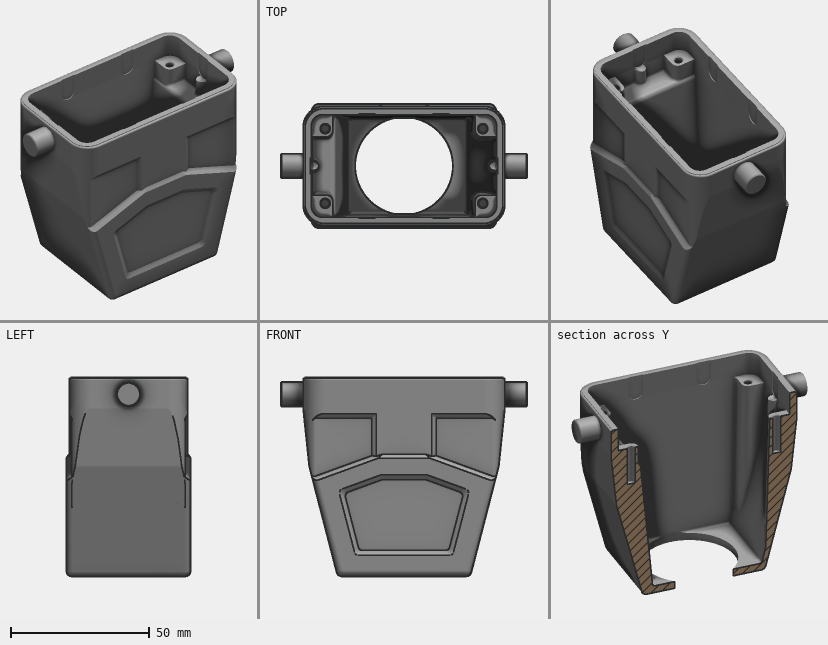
import cadquery as cq
import math

HEIGHT = 72.0
PIN_SPAN = 89.0
LOWER_WIDTH = 45.0

COLLAR_LENGTH = 73.0
COLLAR_WIDTH = 43.0
COLLAR_RADIUS = 7.6
COLLAR_BASE_Z = 25.0
RIM_ROUND = 0.6
LIP_HEIGHT = 0.3
LIP_INSET = 0.75

TAPER_START_Z = 60.75
BEND_Z = 39.9
BEND_HALF_LENGTH = 34.3
BEND_ROUND = 6.0
END_ANGLE = 14.5
BASE_HALF_LENGTH = BEND_HALF_LENGTH - BEND_Z * math.tan(math.radians(END_ANGLE))

BLOCK_ROUND = 2.2
SHOULDER_Z = 42.8
SHOULDER_HALF_LENGTH = 9.3
SHOULDER_ANGLE = 20.0
SHOULDER_BEVEL_DEPTH = 2.4
ENVELOPE_MARGIN = 10.0
SHOULDER_FLAT_SPREAD = 3.4
SHOULDER_SLOPE_SPREAD = 2.1

RECESS_DEPTH = 0.9
RECESS_BEVEL = 1.7
RECESS_INNER_X = 10.0
RECESS_TOP_Z = 58.9
RECESS_EDGE_ROUND = 2.0
RECESS_CORNER_ROUND = 1.0
RECESS_FLOOR_Y = COLLAR_WIDTH / 2 - RECESS_DEPTH

PANEL_BOTTOM_Z = 7.7
PANEL_END_MARGIN = 8.1
PANEL_TOP_MARGIN = 6.0
PANEL_DEPTH = 0.9
PANEL_BEVEL = 1.8
PANEL_TOP_ROUND = 4.0
PANEL_BOTTOM_ROUND = 3.5

PIN_DIAMETER = 8.9
PIN_Z = 65.9
PIN_CHAMFER = 0.35

MOUTH_LENGTH = 67.1
MOUTH_WIDTH = 37.2
MOUTH_RADIUS = 4.3
MOUTH_DEPTH = 9.0
LEDGE_Z = HEIGHT - MOUTH_DEPTH
FLOOR_THICKNESS = 3.0
CAVITY_BEND_HALF_LENGTH = 31.5
CAVITY_FLOOR_HALF_LENGTH = 22.6
CAVITY_FLOOR_HALF_WIDTH = 17.3
CAVITY_FLOOR_ROUND = 0.9
CABLE_HOLE_DIAMETER = 35.3

FILL_SHELF_X = -24.9
FILL_FLOOR_X = -20.0
SHELF_Z = 56.0
SHELF_EDGE_ROUND = 1.9
SHELF_CORNER_ROUND = 1.0

POST_INNER_X = 25.75
POST_INNER_Y = 10.5
POST_ROUND = 2.4
POST_DRAFT = 1.7
POST_ROOT_ROUND = 1.2
SCREW_X = 28.5
SCREW_Y = 13.5
SCREW_DIAMETER = 3.0
SCREW_CHAMFER = 0.3
SCREW_CHAMFER_ANGLE = 45.0
SCREW_DEPTH = 15.0

RIB_RADIUS = 1.9
RIB_REACH = 2.7
RIB_DRAFT = 1.0
RIB_CHAMFER = 0.5
RIB_FOOT_ROUND = 0.8

NOTCH_WIDTH = 5.6
NOTCH_DEPTH = 0.3
NOTCH_BOTTOM_Z = 62.4
NOTCH_X = 13.3


def nearest(point):
    """Selector for the edge whose middle lies nearest to the point."""
    return cq.selectors.NearestToPointSelector(point)


def mirrored_outline(right_points):
    """Close a right-hand chain of points with its mirror image about X = 0."""
    left_points = [(-x, z) for x, z in reversed(right_points)]
    return right_points + left_points


def prism_along_y(points, half_width):
    """Extrude an X-Z outline symmetrically to both sides of Y = 0."""
    return cq.Workplane("XZ").polyline(points).close().extrude(half_width, both=True)


def end_x(z):
    """X of the sharp lower end wall at height z."""
    return BASE_HALF_LENGTH + z * math.tan(math.radians(END_ANGLE))


def hull_prism():
    """Prism with the tapering end walls, wide enough to trim the whole collar."""
    outline = mirrored_outline([
        (BASE_HALF_LENGTH, 0),
        (BEND_HALF_LENGTH, BEND_Z),
        (COLLAR_LENGTH / 2, TAPER_START_Z),
        (COLLAR_LENGTH / 2, HEIGHT),
    ])
    prism = prism_along_y(outline, LOWER_WIDTH)
    for x in (-BEND_HALF_LENGTH, BEND_HALF_LENGTH):
        prism = prism.edges(nearest((x, 0, BEND_Z))).fillet(BEND_ROUND)
    return prism


def gable_outline(flat_shift, slope_shift, end_shift, bottom_z):
    """Five-sided outline of the block face, with each edge moved outwards by its shift.

    Returns the bottom, shoulder-end and shoulder-flat corners of the +X half.
    """
    slope = math.tan(math.radians(SHOULDER_ANGLE))
    lean = math.tan(math.radians(END_ANGLE))
    flat_z = SHOULDER_Z + flat_shift
    slope_rise = slope_shift / math.cos(math.radians(SHOULDER_ANGLE))
    slope_z_at_center = SHOULDER_Z + SHOULDER_HALF_LENGTH * slope + slope_rise
    end_at_zero = BASE_HALF_LENGTH + end_shift / math.cos(math.radians(END_ANGLE))
    flat_x = (slope_z_at_center - flat_z) / slope
    corner_x = (end_at_zero + lean * slope_z_at_center) / (1 + lean * slope)
    corner_z = slope_z_at_center - slope * corner_x
    return [(end_at_zero + lean * bottom_z, bottom_z), (corner_x, corner_z), (flat_x, flat_z)]


def rounded_block(length, width, radius, bottom_z, top_z):
    return (
        cq.Workplane("XY", origin=(0, 0, bottom_z)).rect(length, width).extrude(top_z - bottom_z)
        .edges("|Z").fillet(radius)
    )


def rim_lip():
    return rounded_block(
        COLLAR_LENGTH - 2 * LIP_INSET,
        COLLAR_WIDTH - 2 * LIP_INSET,
        COLLAR_RADIUS - LIP_INSET,
        HEIGHT - LIP_HEIGHT,
        HEIGHT,
    )


def collar():
    block = (
        rounded_block(COLLAR_LENGTH, COLLAR_WIDTH, COLLAR_RADIUS, COLLAR_BASE_Z, HEIGHT - LIP_HEIGHT)
        .faces(">Z").edges().fillet(RIM_ROUND)
    )
    for side_x in (-1, 1):
        for side_y in (-1, 1):
            block = block.cut(collar_recess(side_x, side_y))
    recess_arc_x = math.sqrt(COLLAR_RADIUS**2 - (COLLAR_RADIUS - RECESS_DEPTH)**2)
    edge_x = COLLAR_LENGTH / 2 - COLLAR_RADIUS + recess_arc_x
    middle_z = (COLLAR_BASE_Z + RECESS_TOP_Z - RECESS_BEVEL) / 2
    for x in (-edge_x, edge_x):
        for y in (-RECESS_FLOOR_Y, RECESS_FLOOR_Y):
            edge = nearest((x, y, middle_z))
            block = block.edges(edge).fillet(RECESS_EDGE_ROUND)
    return block


def collar_recess(side_x, side_y):
    """Bevelled recess, open towards the end wall and downwards."""
    length = COLLAR_LENGTH - RECESS_INNER_X
    height = RECESS_TOP_Z + RECESS_BEVEL
    recess = (
        cq.Workplane("XZ", origin=(0, -COLLAR_WIDTH / 2, 0))
        .center(RECESS_INNER_X + length / 2, RECESS_TOP_Z - height / 2)
        .rect(length, height)
        .workplane(offset=-RECESS_DEPTH)
        .center(RECESS_BEVEL / 2, -RECESS_BEVEL / 2)
        .rect(length - RECESS_BEVEL, height - RECESS_BEVEL)
        .loft(ruled=True)
    )
    inner_corner = nearest((
        RECESS_INNER_X + RECESS_BEVEL / 2,
        -COLLAR_WIDTH / 2 + RECESS_DEPTH / 2,
        RECESS_TOP_Z - RECESS_BEVEL / 2,
    ))
    recess = recess.edges(inner_corner).fillet(RECESS_CORNER_ROUND)
    if side_x < 0:
        recess = recess.mirror("YZ")
    if side_y > 0:
        recess = recess.mirror("XZ")
    return recess


def lower_block():
    block = prism_along_y(mirrored_outline(shoulder_root_outline(0, 0)), LOWER_WIDTH / 2)
    end_edge_z = SHOULDER_Z / 2
    for side_x in (-1, 1):
        for side_y in (-1, 1):
            edge_point = (side_x * end_x(end_edge_z), side_y * LOWER_WIDTH / 2, end_edge_z)
            block = block.edges(nearest(edge_point)).fillet(BLOCK_ROUND)
    block = block.faces("<Z").edges().fillet(BLOCK_ROUND)
    return block.intersect(shoulder_envelope())


def shoulder_root_outline(end_shift, bottom_z):
    return gable_outline(SHOULDER_FLAT_SPREAD, SHOULDER_SLOPE_SPREAD, end_shift, bottom_z)


def shoulder_envelope():
    """Oversized gable prism whose top edges carry the shoulder bevels on both faces."""
    face = mirrored_outline(gable_outline(0, 0, ENVELOPE_MARGIN, -ENVELOPE_MARGIN))
    root = mirrored_outline(shoulder_root_outline(ENVELOPE_MARGIN, -ENVELOPE_MARGIN))
    bevel = (
        cq.Workplane("XZ", origin=(0, -LOWER_WIDTH / 2, 0)).polyline(face).close()
        .workplane(offset=-SHOULDER_BEVEL_DEPTH).polyline(root).close()
        .loft(ruled=True)
    )
    core = prism_along_y(root, LOWER_WIDTH / 2 - SHOULDER_BEVEL_DEPTH)
    return core.union(bevel).union(bevel.mirror("XZ"))


def panel_outline(plane, inset):
    margins = (-PANEL_TOP_MARGIN - inset, -PANEL_TOP_MARGIN - inset, -PANEL_END_MARGIN - inset)
    bottom_z = PANEL_BOTTOM_Z + inset
    points = mirrored_outline(gable_outline(*margins, bottom_z))
    return plane.polyline(points).close()


def label_panels():
    start = cq.Workplane("XZ", origin=(0, -LOWER_WIDTH / 2, 0))
    outline = panel_outline(start, 0)
    panel = panel_outline(outline.workplane(offset=-PANEL_DEPTH), PANEL_BEVEL).loft(ruled=True)
    corner_bottom, corner_top, _ = gable_outline(
        -PANEL_TOP_MARGIN, -PANEL_TOP_MARGIN, -PANEL_END_MARGIN, PANEL_BOTTOM_Z
    )
    for (x, z), radius in ((corner_bottom, PANEL_BOTTOM_ROUND), (corner_top, PANEL_TOP_ROUND)):
        for side in (-1, 1):
            corner = nearest(
                (side * (x - PANEL_BEVEL / 2), -LOWER_WIDTH / 2 + PANEL_DEPTH / 2, z)
            )
            panel = panel.edges(corner).fillet(radius)
    return [panel, panel.mirror("XZ")]


def pins():
    rod = (
        cq.Workplane("YZ").center(0, PIN_Z).circle(PIN_DIAMETER / 2)
        .extrude(PIN_SPAN / 2, both=True)
    )
    return rod.faces("<X or >X").edges().chamfer(PIN_CHAMFER)


def mouth():
    opening = rounded_block(MOUTH_LENGTH, MOUTH_WIDTH, MOUTH_RADIUS, LEDGE_Z, HEIGHT)
    for x in (-NOTCH_X, NOTCH_X):
        opening = opening.union(notch_bar(MOUTH_WIDTH + 2 * NOTCH_DEPTH, "XZ").translate((x, 0, 0)))
    return opening.union(notch_bar(MOUTH_LENGTH + 2 * NOTCH_DEPTH, "YZ"))


def notch_bar(length, plane):
    """Round-bottomed bar across the mouth; its ends form a facing pair of notches."""
    half = NOTCH_WIDTH / 2
    shoulder_z = NOTCH_BOTTOM_Z + half
    return (
        cq.Workplane(plane).moveTo(-half, HEIGHT).lineTo(-half, shoulder_z)
        .threePointArc((0, NOTCH_BOTTOM_Z), (half, shoulder_z)).lineTo(half, HEIGHT).close()
        .extrude(length / 2, both=True)
    )


def cavity():
    length_profile = mirrored_outline([
        (CAVITY_FLOOR_HALF_LENGTH, FLOOR_THICKNESS),
        (CAVITY_BEND_HALF_LENGTH, BEND_Z),
        (MOUTH_LENGTH / 2, LEDGE_Z),
    ])
    width_profile = mirrored_outline([
        (CAVITY_FLOOR_HALF_WIDTH, FLOOR_THICKNESS),
        (MOUTH_WIDTH / 2, LEDGE_Z),
    ])
    across = cq.Workplane("YZ").polyline(width_profile).close().extrude(COLLAR_LENGTH, both=True)
    space = prism_along_y(length_profile, COLLAR_WIDTH).intersect(across)
    space = space.cut(end_fill())
    space = space.faces("<Z").edges().fillet(CAVITY_FLOOR_ROUND)
    for side_x in (-1, 1):
        for side_y in (-1, 1):
            space = space.cut(screw_post(side_x, side_y))
    space = round_post_roots(space)
    for side_x in (-1, 1):
        space = space.cut(guide_rib(side_x))
    rib_foot = nearest((RIB_REACH - MOUTH_LENGTH / 2, 0, SHELF_Z))
    return space.edges(rib_foot).fillet(RIB_FOOT_ROUND)


def round_post_roots(space):
    """Round the corners where the +X posts meet the long walls and around the -X shelf."""
    root_z = (FLOOR_THICKNESS + LEDGE_Z) / 2
    for side_y in (-1, 1):
        root = nearest((POST_INNER_X, side_y * MOUTH_WIDTH / 2, root_z))
        space = space.edges(root).fillet(POST_ROOT_ROUND)
    shelf_middle_x = (FILL_SHELF_X - MOUTH_LENGTH / 2) / 2
    shelf_edges = nearest((-MOUTH_LENGTH / 2, 0, SHELF_Z))
    for side_y in (-1, 1):
        shelf_edges += nearest((shelf_middle_x, side_y * POST_INNER_Y, SHELF_Z))
    return space.edges(shelf_edges).fillet(SHELF_CORNER_ROUND)


def end_fill():
    outline = [
        (-COLLAR_LENGTH, FLOOR_THICKNESS),
        (FILL_FLOOR_X, FLOOR_THICKNESS),
        (FILL_SHELF_X, SHELF_Z),
        (-COLLAR_LENGTH, SHELF_Z),
    ]
    lip = nearest((FILL_SHELF_X, 0, SHELF_Z))
    return prism_along_y(outline, COLLAR_WIDTH).edges(lip).fillet(SHELF_EDGE_ROUND)


def screw_post(side_x, side_y):
    """Drafted post in a cavity corner, widening downwards from the ledge."""
    length = COLLAR_LENGTH / 2 - POST_INNER_X
    width = COLLAR_WIDTH / 2 - POST_INNER_Y
    center_x = side_x * (POST_INNER_X + length / 2)
    center_y = side_y * (POST_INNER_Y + width / 2)
    outline = cq.Sketch().rect(length, width).vertices().fillet(POST_ROUND)
    return (
        cq.Workplane("XY", origin=(center_x, center_y, LEDGE_Z)).placeSketch(outline)
        .extrude(-LEDGE_Z, taper=-POST_DRAFT)
    )


def guide_rib(side_x):
    center_x = side_x * (MOUTH_LENGTH / 2 - RIB_REACH + RIB_RADIUS)
    foot_radius = RIB_RADIUS + LEDGE_Z * math.tan(math.radians(RIB_DRAFT))
    half_profile = [
        (0, 0),
        (foot_radius, 0),
        (RIB_RADIUS, LEDGE_Z - RIB_CHAMFER),
        (RIB_RADIUS - RIB_CHAMFER, LEDGE_Z),
        (0, LEDGE_Z),
    ]
    rib = cq.Workplane("XZ").polyline(half_profile).close().revolve(360, (0, 0, 0), (0, 1, 0))
    return rib.translate((center_x, 0, 0))


def screw_holes():
    top = cq.Workplane("XY", origin=(0, 0, LEDGE_Z)).rect(2 * SCREW_X, 2 * SCREW_Y, forConstruction=True)
    holes = top.vertices().circle(SCREW_DIAMETER / 2).extrude(-SCREW_DEPTH)
    mouth_radius = SCREW_DIAMETER / 2 + SCREW_CHAMFER
    sinks = top.vertices().circle(mouth_radius).extrude(-SCREW_CHAMFER, taper=SCREW_CHAMFER_ANGLE)
    return holes.union(sinks)


def cable_hole():
    return cq.Workplane("XY").circle(CABLE_HOLE_DIAMETER / 2).extrude(FLOOR_THICKNESS + CAVITY_FLOOR_ROUND)


shell = collar().intersect(hull_prism()).union(lower_block())
for panel in label_panels():
    shell = shell.cut(panel)
shell = shell.union(rim_lip()).union(pins())
result = shell.cut(mouth()).cut(cavity()).cut(screw_holes()).cut(cable_hole())